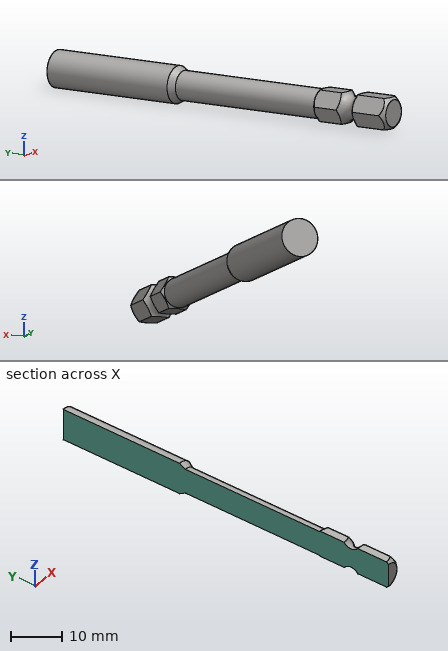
import cadquery as cq
import math

total_length = 80.0
sleeve_radius = 7.6 / 2
sleeve_length = 28.6
sleeve_cone_length = 1.4
shank_radius = 6.0 / 2

hex_length = 17.0
hex_across_flats = 6.3
hex_across_corners = hex_across_flats / math.cos(math.pi / 6)
hex_corner_radius = hex_across_corners / 2
tip_radius = 5.4 / 2
tip_chamfer_length = 1.0
rear_chamfer_length = hex_corner_radius - shank_radius

groove_distance = 9.3
groove_bottom_radius = 2.3
groove_arc_radius = 2.0


def revolve_about_y(profile):
    """Turn a closed profile, drawn as (radius, Y), fully around the Y axis."""
    return profile.close().revolve(360, (0, 0, 0), (0, 1, 0))


def make_round_body():
    """Shank and sleeve, joined by a short cone."""
    sleeve_start = total_length - sleeve_length
    profile = (
        cq.Workplane("XY")
        .moveTo(0, hex_length)
        .lineTo(shank_radius, hex_length)
        .lineTo(shank_radius, sleeve_start - sleeve_cone_length)
        .lineTo(sleeve_radius, sleeve_start)
        .lineTo(sleeve_radius, total_length)
        .lineTo(0, total_length)
    )
    return revolve_about_y(profile)


def make_hex_drive():
    """Hexagonal prism with its corners turned down conically at both ends."""
    prism = cq.Workplane("XZ").polygon(6, hex_across_corners).extrude(-hex_length)
    envelope = (
        cq.Workplane("XY")
        .lineTo(tip_radius, 0)
        .lineTo(hex_corner_radius, tip_chamfer_length)
        .lineTo(hex_corner_radius, hex_length - rear_chamfer_length)
        .lineTo(shank_radius, hex_length)
        .lineTo(0, hex_length)
    )
    return prism.intersect(revolve_about_y(envelope))


def make_groove_cutter():
    """Ring of circular section that cuts the retaining groove."""
    section = (
        cq.Workplane("XY")
        .center(groove_bottom_radius + groove_arc_radius, groove_distance)
        .circle(groove_arc_radius)
    )
    axis_offset = -(groove_bottom_radius + groove_arc_radius)
    return section.revolve(360, (axis_offset, 0, 0), (axis_offset, 1, 0))


result = make_hex_drive().union(make_round_body()).cut(make_groove_cutter())